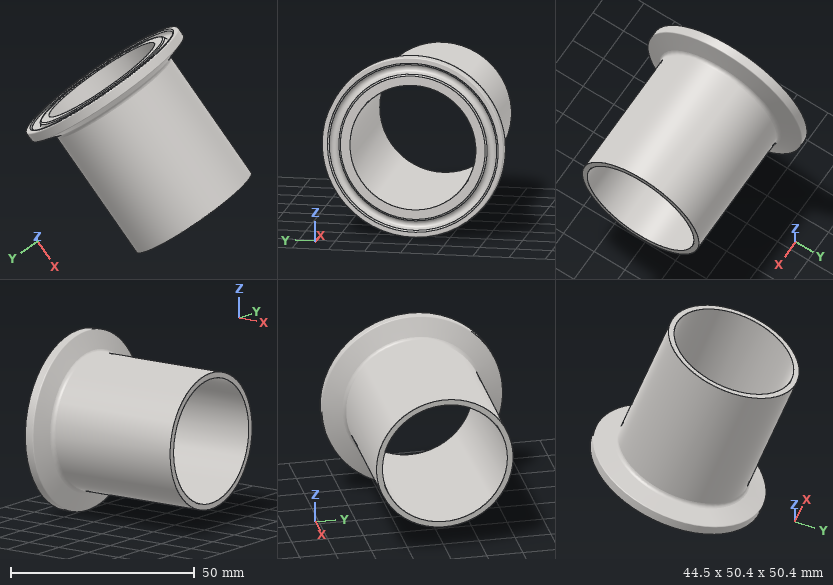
import cadquery as cq
import math

LENGTH = 44.45
TUBE_RADIUS = 38.1 / 2
BORE_RADIUS = 34.8 / 2
FLANGE_RADIUS = 50.39 / 2
FLANGE_RIM_WIDTH = 2.87
BACK_CONE_ANGLE = 20.0
RIM_FILLET = 0.38
NECK_FILLET = 1.2

GROOVE_CENTER_RADIUS = 43.7 / 2
GROOVE_ARC_RADIUS = 1.19
GROOVE_DEPTH = 1.6
GROOVE_INCLUDED_ANGLE = 46.0
GROOVE_LIP_FILLET = 0.5

FULL_TURN = 360


def edge_circle(solid, x, radius):
    """Select the circular edge around the X axis at a given station and radius."""
    margin = 0.02
    outer = radius + margin
    return solid.edges(
        cq.selectors.BoxSelector((x - margin, -outer, -outer), (x + margin, outer, outer))
    )


def revolve_about_x(profile):
    return profile.revolve(FULL_TURN, (0, 0, 0), (1, 0, 0))


def ferrule_body():
    cone_end = FLANGE_RIM_WIDTH + (FLANGE_RADIUS - TUBE_RADIUS) * math.tan(math.radians(BACK_CONE_ANGLE))
    profile = (
        cq.Workplane("XY")
        .moveTo(0, BORE_RADIUS)
        .lineTo(0, FLANGE_RADIUS)
        .lineTo(FLANGE_RIM_WIDTH, FLANGE_RADIUS)
        .lineTo(cone_end, TUBE_RADIUS)
        .lineTo(LENGTH, TUBE_RADIUS)
        .lineTo(LENGTH, BORE_RADIUS)
        .close()
    )
    body = revolve_about_x(profile)
    body = edge_circle(body, cone_end, TUBE_RADIUS).fillet(NECK_FILLET)
    body = edge_circle(body, FLANGE_RIM_WIDTH, FLANGE_RADIUS).fillet(RIM_FILLET)
    return body.faces("<X").edges(cq.selectors.RadiusNthSelector(-1)).fillet(RIM_FILLET)


def gasket_groove():
    """Ring cutter: arc bottom, walls tangent to it, and lips blending into the sealing face."""
    wall_angle = math.radians(GROOVE_INCLUDED_ANGLE / 2)
    sine = math.sin(wall_angle)
    cosine = math.cos(wall_angle)

    bottom_x = GROOVE_DEPTH - GROOVE_ARC_RADIUS * (1 - sine)
    bottom_half = GROOVE_ARC_RADIUS * cosine
    lip_x = GROOVE_LIP_FILLET * (1 - sine)
    lip_half = bottom_half + (bottom_x - lip_x) * math.tan(wall_angle)
    mouth_half = lip_half + GROOVE_LIP_FILLET * cosine

    profile = (
        cq.Workplane("XY")
        .moveTo(0, GROOVE_CENTER_RADIUS - mouth_half)
        .radiusArc((lip_x, GROOVE_CENTER_RADIUS - lip_half), -GROOVE_LIP_FILLET)
        .lineTo(bottom_x, GROOVE_CENTER_RADIUS - bottom_half)
        .threePointArc(
            (GROOVE_DEPTH, GROOVE_CENTER_RADIUS),
            (bottom_x, GROOVE_CENTER_RADIUS + bottom_half),
        )
        .lineTo(lip_x, GROOVE_CENTER_RADIUS + lip_half)
        .radiusArc((0, GROOVE_CENTER_RADIUS + mouth_half), -GROOVE_LIP_FILLET)
        .close()
    )
    return revolve_about_x(profile)


result = ferrule_body().cut(gasket_groove())